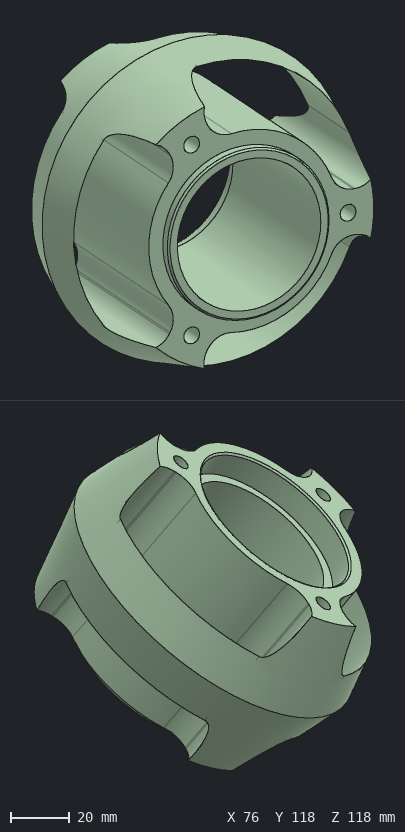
import cadquery as cq
import math

body_length = 72.0
rim_radius = 59.0
end_radius = 49.9

spigot_length = 4.0
spigot_radius = 31.0
spigot_chamfer = 0.7

bore_radius = 27.5
recess_radius = 31.2
recess_depth = 10.0
recess_chamfer = 0.7

repeat_count = 3
slot_inner_radius = 36.5
slot_outer_radius = 55.0
slot_corner_radius = 9.0
spoke_width = 16.8
bolt_circle_radius = 40.0
bolt_hole_diameter = 6.0

total_length = body_length + spigot_length
spoke_angles = [index * 360 / repeat_count for index in range(repeat_count)]


def polar(radius, degrees):
    """Point in the YZ plane, with the angle measured from +Y toward +Z."""
    angle = math.radians(degrees)
    return radius * math.cos(angle), radius * math.sin(angle)


def revolve_about_x(points):
    """Solid of revolution from (X, radius) points."""
    return cq.Workplane("XY").polyline(points).close().revolve(360, (0, 0, 0), (1, 0, 0))


def make_body():
    """Double cone with the chamfered spigot."""
    return revolve_about_x([
        (0, 0),
        (0, end_radius),
        (body_length / 2, rim_radius),
        (body_length, end_radius),
        (body_length, spigot_radius),
        (total_length - spigot_chamfer, spigot_radius),
        (total_length, spigot_radius - spigot_chamfer),
        (total_length, 0),
    ])


def make_bore():
    """Through bore with a chamfered recess at the -X end."""
    return revolve_about_x([
        (0, 0),
        (0, recess_radius + recess_chamfer),
        (recess_chamfer, recess_radius),
        (recess_depth, recess_radius),
        (recess_depth, bore_radius),
        (total_length, bore_radius),
        (total_length, 0),
    ])


def make_spoke(angle):
    """Parallel-sided bar from the axis to beyond the slots."""
    return (
        cq.Workplane("XY")
        .box(body_length, rim_radius, spoke_width, centered=(False, False, True))
        .rotate((0, 0, 0), (1, 0, 0), angle)
    )


def make_slots():
    """Ring-shaped space divided by the spokes, with rounded slot corners."""
    slots = (
        cq.Workplane("YZ")
        .circle(slot_outer_radius)
        .circle(slot_inner_radius)
        .extrude(body_length)
    )
    for angle in spoke_angles:
        slots = slots.cut(make_spoke(angle))
    return slots.edges("|X").fillet(slot_corner_radius)


def make_bolt_hole(angle):
    """Bolt hole running the full body length."""
    return (
        cq.Workplane("YZ")
        .center(*polar(bolt_circle_radius, angle))
        .circle(bolt_hole_diameter / 2)
        .extrude(body_length)
    )


result = make_body().cut(make_bore()).cut(make_slots())
for spoke_angle in spoke_angles:
    result = result.cut(make_bolt_hole(spoke_angle))